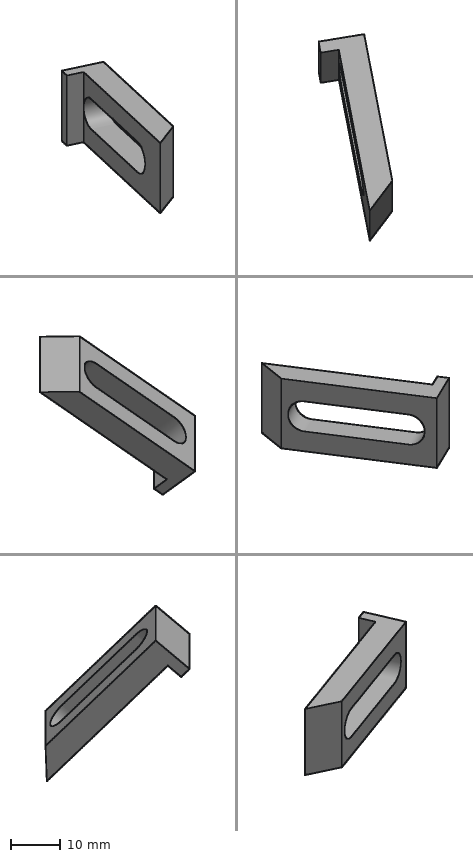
import cadquery as cq

length = 38.35
depth = 9.4
height = 15.88

plate_thickness = 5.68
foot_length = 2.5
bevel_run = plate_thickness

slot_start = 2.57
slot_end = 31.25
slot_width = 6.8

foot_depth = depth - plate_thickness

body = (
    cq.Workplane("XY")
    .moveTo(0, 0)
    .lineTo(foot_length, 0)
    .lineTo(foot_length, foot_depth)
    .lineTo(length, foot_depth)
    .lineTo(length - bevel_run, depth)
    .lineTo(0, depth)
    .close()
    .extrude(height)
)

slot_cutter = (
    cq.Workplane("XZ")
    .center((slot_start + slot_end) / 2, height / 2)
    .slot2D(slot_end - slot_start, slot_width)
    .extrude(-depth)
)

result = body.cut(slot_cutter)